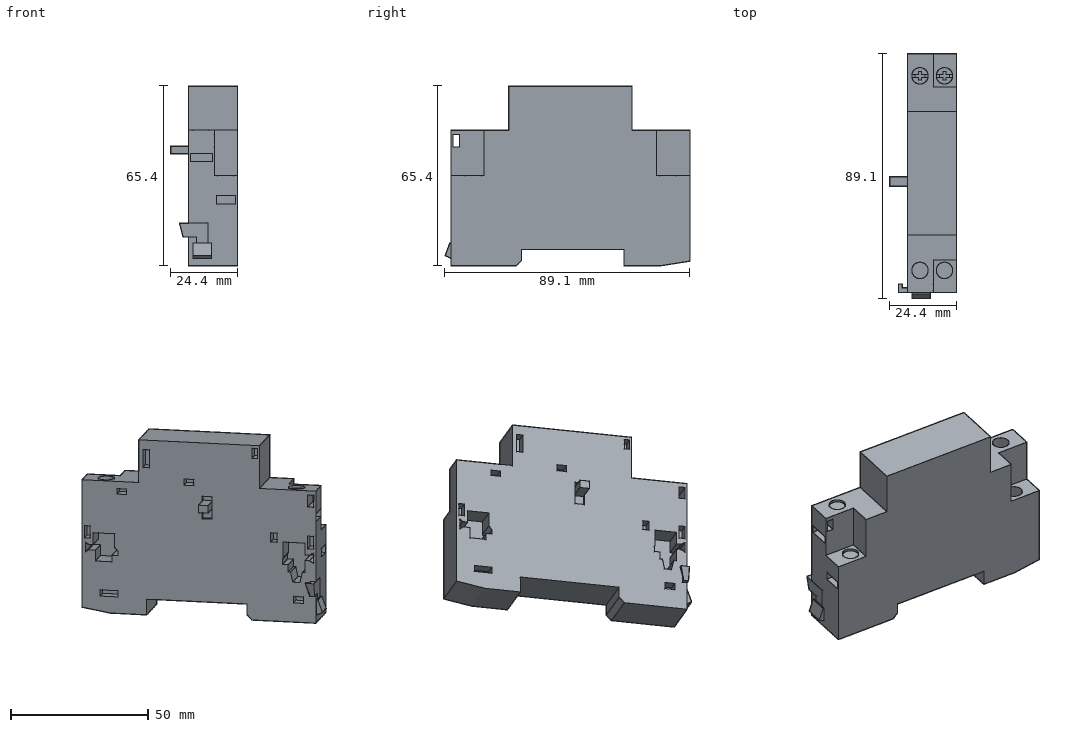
import cadquery as cq

WIDTH = 17.9
LENGTH = 87.05
HEIGHT = 65.4
SHOULDER_Z = 49.4
TOWER_FRONT_Y = 21.0
TOWER_BACK_Y = 65.9
RAIL_FRONT_Y = 25.7
RAIL_BACK_Y = 63.0
RAIL_DEPTH = 5.9
RAIL_CHAMFER = 2.0
HEEL_RUN = 10.7
HEEL_RISE = 1.7

STEP_X = 9.45
STEP_Z = 32.8
FRONT_STEP_LENGTH = 11.95
BACK_STEP_LENGTH = 12.2

HOLE_DIAMETER = 6.0
HOLE_INSET_Y = 8.1
HOLE_XS_AND_TOPS = [(4.55, SHOULDER_Z), (13.5, STEP_Z)]
FRONT_HOLE_DEPTH = 0.9
BACK_HOLE_DEPTH = 5.35
SLOT_WIDTH = 1.1
SLOT_DEPTH = 0.45
CROSS_LENGTH_X = 3.6
CROSS_LENGTH_Y = 3.2
CROSS_DEPTH = 0.9

POCKET_DEPTH = 4.5
CAVITY_DEPTH = 8.9
WINDOW = (0.8, 3.0, 43.35, 47.8)
SIDE_POCKETS = [
    (62.0, 64.4, 55.1, 61.8),
    (21.8, 23.7, 60.6, 64.2),
    (45.5, 49.05, 49.2, 51.55),
    (70.5, 74.0, 44.7, 46.7),
    (84.0, 86.2, 27.7, 32.3),
    (14.4, 16.8, 29.6, 33.0),
    (0.8, 3.0, 27.7, 32.5),
    (4.6, 8.4, 7.2, 9.6),
    (73.7, 80.3, 6.2, 8.6),
]
WIRE_OPENINGS = [
    (0.8, 8.8, 37.9, 40.85),
    (10.2, 17.2, 22.6, 25.6),
]
BACK_CAVITY = [
    (82.9, 29.8), (74.8, 29.8), (74.8, 24.7), (73.7, 23.2), (73.7, 21.7),
    (75.9, 21.7), (75.9, 19.3), (82.05, 19.3), (82.05, 23.3), (84.7, 23.3),
    (85.8, 22.4), (85.8, 26.2), (84.7, 25.3), (82.9, 25.3),
]
FRONT_CAVITY = [
    (12.1, 29.8), (4.0, 29.8), (4.0, 25.3), (2.3, 25.3), (0.8, 26.2),
    (0.8, 22.4), (2.3, 23.3), (4.0, 23.3), (4.0, 18.7), (5.0, 18.7),
    (6.0, 15.0), (8.6, 15.0), (9.4, 18.7), (10.3, 18.7), (10.3, 21.4),
    (12.4, 21.4), (12.4, 23.4), (12.1, 23.9),
]

LEVER_Y = (38.7, 42.3)
LEVER_Z = (40.8, 43.6)
LEVER_REACH = 6.5
LEVER_SLOT_Z = (37.0, 45.4)
LEVER_SLOT_DEPTH = 1.6

PLATE_THICKNESS = 1.9
PLATE_RIGHT_X = 7.05
PLATE_Z = (10.4, 15.5)
STEM_LEFT_X = 2.9
HOOK_REACH = 3.3
HOOK_TAPER = 1.3
LIP_THICKNESS = 1.4
LIP_BACK_Y = 3.2
TAB_X = (1.6, 8.4)
TAB_TOP_Z = 8.4
TAB_TOP_REACH = 0.45
TAB_TIP_Z = 3.75
TAB_REACH = 2.1
TAB_BOTTOM_Z = 2.7


def box(x0, x1, y0, y1, z0, z1):
    """Axis-aligned block between two opposite corners."""
    return cq.Workplane("XY").box(x1 - x0, y1 - y0, z1 - z0, centered=False).translate((x0, y0, z0))


def side_prism(corners, x0, x1):
    """Prism along X over a polygon of (y, z) corners."""
    return cq.Workplane("YZ").workplane(offset=x0).polyline(corners).close().extrude(x1 - x0)


def front_prism(corners, y0, y1):
    """Prism along Y over a polygon of (x, z) corners."""
    return cq.Workplane("XZ").workplane(offset=-y1).polyline(corners).close().extrude(y1 - y0)


def housing_blank():
    """Stepped side profile with the rail notch, plus the lower terminal steps."""
    profile = [
        (0, 0),
        (0, SHOULDER_Z),
        (TOWER_FRONT_Y, SHOULDER_Z),
        (TOWER_FRONT_Y, HEIGHT),
        (TOWER_BACK_Y, HEIGHT),
        (TOWER_BACK_Y, SHOULDER_Z),
        (LENGTH, SHOULDER_Z),
        (LENGTH, HEEL_RISE),
        (LENGTH - HEEL_RUN, 0),
        (RAIL_BACK_Y, 0),
        (RAIL_BACK_Y, RAIL_DEPTH),
        (RAIL_FRONT_Y, RAIL_DEPTH),
        (RAIL_FRONT_Y, RAIL_CHAMFER),
        (RAIL_FRONT_Y - RAIL_CHAMFER, 0),
    ]
    body = side_prism(profile, 0, WIDTH)
    for y0, y1 in ((0, FRONT_STEP_LENGTH), (LENGTH - BACK_STEP_LENGTH, LENGTH)):
        body = body.cut(box(STEP_X, WIDTH, y0, y1, STEP_Z, SHOULDER_Z))
    return body


def hole(x, y, top, depth):
    """Round blind hole going down from the given top."""
    return cq.Workplane("XY").circle(HOLE_DIAMETER / 2).extrude(depth).translate((x, y, top - depth))


def sunk_bar(x, y, top, length_x, length_y, depth):
    """Rectangular recess centred on (x, y), going down from the given top."""
    bar = cq.Workplane("XY").rect(length_x, length_y).extrude(depth)
    return bar.translate((x, y, top - depth))


def cut_terminals(body):
    """Shallow front holes, and deep back holes with a slotted cross in the floor."""
    for x, top in HOLE_XS_AND_TOPS:
        body = body.cut(hole(x, HOLE_INSET_Y, top, FRONT_HOLE_DEPTH))
        back_y = LENGTH - HOLE_INSET_Y
        floor = top - BACK_HOLE_DEPTH
        body = body.cut(hole(x, back_y, top, BACK_HOLE_DEPTH))
        slot = sunk_bar(x, back_y, floor, HOLE_DIAMETER, SLOT_WIDTH, SLOT_DEPTH)
        body = body.cut(slot.intersect(hole(x, back_y, floor, SLOT_DEPTH)))
        body = body.cut(sunk_bar(x, back_y, floor, CROSS_LENGTH_X, SLOT_WIDTH, CROSS_DEPTH))
        body = body.cut(sunk_bar(x, back_y, floor, SLOT_WIDTH, CROSS_LENGTH_Y, CROSS_DEPTH))
    return body


def cut_openings(body):
    """Side pockets, side cavities, through window, wire openings and lever slot."""
    for pocket in SIDE_POCKETS:
        body = body.cut(box(0, POCKET_DEPTH, *pocket))
    body = body.cut(box(0, LEVER_SLOT_DEPTH, *LEVER_Y, *LEVER_SLOT_Z))
    for corners in (BACK_CAVITY, FRONT_CAVITY):
        body = body.cut(side_prism(corners, 0, CAVITY_DEPTH))
    body = body.cut(box(0, STEP_X, *WINDOW))
    for x0, x1, z0, z1 in WIRE_OPENINGS:
        body = body.cut(box(x0, x1, 0, POCKET_DEPTH, z0, z1))
    return body


def make_lever():
    """Bar standing on the floor of its slot and reaching out of the left side."""
    return box(-LEVER_REACH, LEVER_SLOT_DEPTH, *LEVER_Y, *LEVER_Z)


def make_latch():
    """Hooked plate with a stem down to the thumb tab."""
    bottom, top = PLATE_Z
    hook_outline = [
        (-HOOK_REACH, top),
        (PLATE_RIGHT_X, top),
        (PLATE_RIGHT_X, TAB_TIP_Z),
        (STEM_LEFT_X, TAB_TIP_Z),
        (STEM_LEFT_X, bottom),
        (HOOK_TAPER - HOOK_REACH, bottom),
    ]
    plate = front_prism(hook_outline, 0, PLATE_THICKNESS)
    lip_profile = [(0, top), (LIP_BACK_Y, top), (PLATE_THICKNESS, bottom), (0, bottom)]
    lip = side_prism(lip_profile, -HOOK_REACH, LIP_THICKNESS - HOOK_REACH)
    lip = lip.intersect(front_prism(hook_outline, 0, LIP_BACK_Y))
    tab_profile = [
        (0, TAB_TOP_Z),
        (-TAB_TOP_REACH, TAB_TOP_Z),
        (-TAB_REACH, TAB_TIP_Z),
        (0, TAB_BOTTOM_Z),
    ]
    return plate.union(lip).union(side_prism(tab_profile, *TAB_X))


lever = make_lever()
latch = make_latch()
housing = cut_openings(cut_terminals(housing_blank())).cut(latch)

result = cq.Compound.makeCompound([housing.val(), lever.val(), latch.val()])